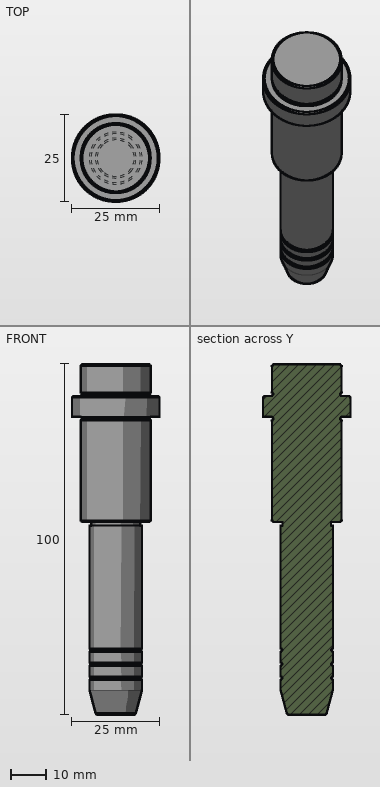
import cadquery as cq
import math

length = 100.0
head_radius = 10.0
flange_radius = 12.5
pin_radius = 7.5

flange_top = 91.0
flange_bottom = 85.0
body_bottom = 55.0

taper_top = 7.0
taper_angle = 15.0

chamfer = 0.5
groove_width = 1.0
groove_depth = 0.5

ring_count = 3
ring_pitch = 4.0
first_ring_top = 19.0

taper_height = taper_top - chamfer
tip_radius = pin_radius - taper_height * math.tan(math.radians(taper_angle))


def vee_groove(top, radius):
    """Points, from top to bottom, of a V-shaped ring groove."""
    return [
        (radius, top),
        (radius - groove_depth, top - groove_width / 2),
        (radius, top - groove_width),
    ]


head = [
    (0, length),
    (head_radius - chamfer, length),
    (head_radius, length - chamfer),
] + vee_groove(flange_top + groove_width, head_radius)

flange = [
    (flange_radius - chamfer, flange_top),
    (flange_radius, flange_top - chamfer),
    (flange_radius, flange_bottom),
]

body = vee_groove(flange_bottom, head_radius) + [
    (head_radius, body_bottom + chamfer),
    (head_radius - chamfer, body_bottom),
]

neck_radius = pin_radius - groove_depth
neck_bottom = body_bottom - groove_width
pin = [
    (neck_radius, body_bottom),
    (neck_radius, neck_bottom),
    (pin_radius, neck_bottom),
]
for index in range(ring_count):
    pin += vee_groove(first_ring_top - index * ring_pitch, pin_radius)

tip = [
    (pin_radius, taper_top),
    (tip_radius, chamfer),
    (tip_radius - chamfer, 0),
    (0, 0),
]

profile = cq.Workplane("XZ").polyline(head + flange + body + pin + tip).close()
result = profile.revolve(360, (0, 0, 0), (0, 1, 0))